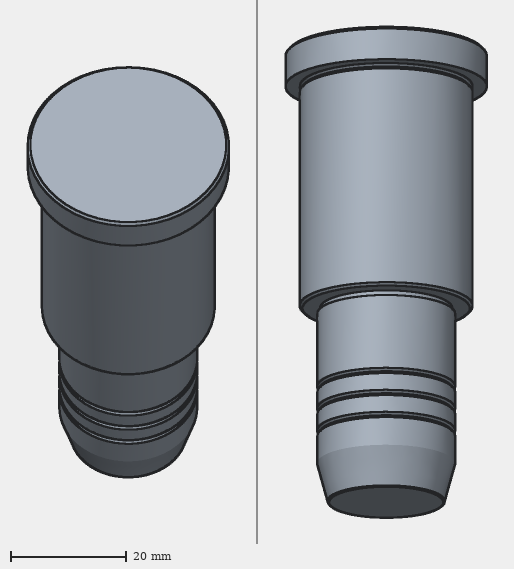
import cadquery as cq
import math

TOTAL_LENGTH = 81.0
HEAD_DIAMETER = 35.0
HEAD_THICKNESS = 6.0
BODY_DIAMETER = 30.05
BODY_LENGTH = 40.0
SHANK_DIAMETER = 24.0

CHAMFER = 0.5
UNDERCUT_DEPTH = 0.5
UNDERCUT_WIDTH = 1.0

TAPER_LENGTH = 7.0
TAPER_ANGLE = 15.0
TIP_CHAMFER = 0.2

GROOVE_COUNT = 3
GROOVE_DEPTH = 0.5
GROOVE_WIDTH = 2 * GROOVE_DEPTH
GROOVE_PITCH = 4.0
LOWEST_GROOVE_HEIGHT = 12.5

head_radius = HEAD_DIAMETER / 2
body_radius = BODY_DIAMETER / 2
shank_radius = SHANK_DIAMETER / 2
tip_radius = shank_radius - TAPER_LENGTH * math.tan(math.radians(TAPER_ANGLE))
head_bottom = TOTAL_LENGTH - HEAD_THICKNESS
body_bottom = head_bottom - BODY_LENGTH


def cylinder(radius, bottom, top):
    """Solid cylinder on the Z axis between two heights."""
    return cq.Workplane("XY").workplane(offset=bottom).circle(radius).extrude(top - bottom)


def revolve_profile(points):
    """Revolve a closed (radius, height) outline about the Z axis."""
    return cq.Workplane("XZ").polyline(points).close().revolve(360, (0, 0), (0, 1))


def undercut(radius, shoulder):
    """Square-sided ring of material removed directly below a shoulder."""
    bottom = shoulder - UNDERCUT_WIDTH
    ring = cylinder(radius, bottom, shoulder)
    return ring.cut(cylinder(radius - UNDERCUT_DEPTH, bottom, shoulder))


def ring_groove(radius, height):
    """V-shaped ring centred on a height, cutting into a cylinder of the given radius."""
    half_width = GROOVE_WIDTH / 2
    return revolve_profile([
        (radius, height - half_width),
        (radius - GROOVE_DEPTH, height),
        (radius, height + half_width),
    ])


head = cylinder(head_radius, head_bottom, TOTAL_LENGTH).faces(">Z").chamfer(CHAMFER)
body = cylinder(body_radius, body_bottom, head_bottom).faces("<Z").chamfer(CHAMFER)
shank = revolve_profile([
    (0, 0),
    (tip_radius, 0),
    (shank_radius, TAPER_LENGTH),
    (shank_radius, body_bottom),
    (0, body_bottom),
]).faces("<Z").chamfer(TIP_CHAMFER)

result = head.union(body).union(shank)
result = result.cut(ring_groove(body_radius, head_bottom - GROOVE_WIDTH / 2))
result = result.cut(undercut(shank_radius, body_bottom))
for index in range(GROOVE_COUNT):
    result = result.cut(ring_groove(shank_radius, LOWEST_GROOVE_HEIGHT + index * GROOVE_PITCH))